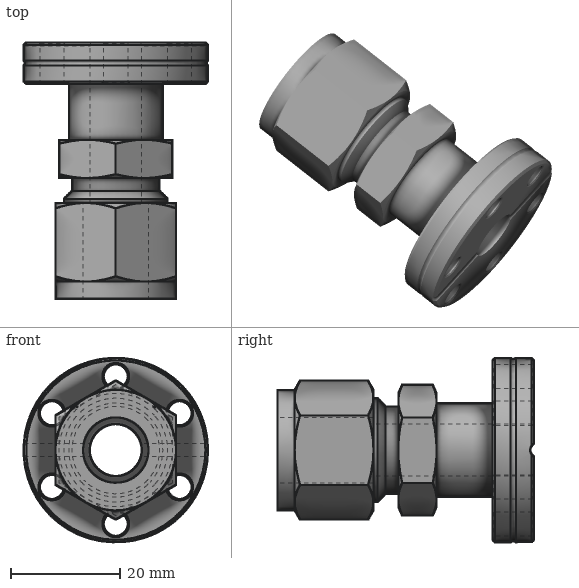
import cadquery as cq
import math


flange_dia = 33.8
flange_end = 7.6
flange_chamfer = 0.45
rim_groove_at = flange_end / 2
rim_groove_width = 0.95
rim_groove_depth = 0.2
bolt_count = 6
bolt_circle_dia = 27.02
bolt_hole_dia = 4.4
bolt_hole_chamfer = 0.25
leak_groove_width = 2.35
leak_groove_depth = 0.65

neck_dia = 17.25
body_hex_at = 17.85
body_hex_end = 24.85
body_hex_flats = 20.77
body_hex_corner_drop = 0.7
relief_dia = 16.05
relief_end = 27.2
cone_end = 28.65
shoulder_dia = 19.05
bore_dia = 9.5

nut_at = 29.4
nut_hex_end = 43.85
nut_flats = 22.1
nut_corner_drop = 1.0
tube_dia = 12.0
overall_length = 47.0


def section_plane(at):
    """Plane across the axis, facing the open end of the fitting."""
    return cq.Workplane("XZ", origin=(0, -at, 0))


def cylinder(dia, at, end):
    return section_plane(at).circle(dia / 2).extrude(end - at)


def hex_prism(flats, corner_drop, at, end):
    """Hexagon with corners at +Z and -Z, both end faces turned down to the width across flats.

    corner_drop is the length along the axis that the turning removes at each corner.
    """
    corner_dia = flats / math.cos(math.pi / 6)
    prism = (
        section_plane(at)
        .transformed(rotate=(0, 0, 90))
        .polygon(6, corner_dia)
        .extrude(end - at)
    )
    blank_profile = [
        (0, -at),
        (flats / 2, -at),
        (corner_dia / 2, -at - corner_drop),
        (corner_dia / 2, -end + corner_drop),
        (flats / 2, -end),
        (0, -end),
    ]
    turned_blank = cq.Workplane("XY").polyline(blank_profile).close().revolve(360, (0, 0, 0), (0, 1, 0))
    return prism.intersect(turned_blank)


def rim_groove():
    """Shallow ring with a round bottom, cut into the flange rim."""
    rim_radius = flange_dia / 2
    near_side = -rim_groove_at + rim_groove_width / 2
    far_side = -rim_groove_at - rim_groove_width / 2
    return (
        cq.Workplane("XY")
        .moveTo(rim_radius, near_side)
        .threePointArc((rim_radius - rim_groove_depth, -rim_groove_at), (rim_radius, far_side))
        .close()
        .revolve(360, (0, 0, 0), (0, 1, 0))
    )


def leak_groove():
    """Round-bottomed groove along X across the sealing face."""
    half_width = leak_groove_width / 2
    radius = (half_width**2 + leak_groove_depth**2) / (2 * leak_groove_depth)
    return (
        cq.Workplane("YZ")
        .center(radius - leak_groove_depth, 0)
        .circle(radius)
        .extrude(flange_dia / 2, both=True)
    )


def make_flange():
    flange = cylinder(flange_dia, 0, flange_end).faces("<Y or >Y").chamfer(flange_chamfer)
    bolt_holes = (
        section_plane(0)
        .polarArray(bolt_circle_dia / 2, 90, 360, bolt_count)
        .circle(bolt_hole_dia / 2)
        .extrude(flange_end)
    )
    flange = flange.cut(bolt_holes)
    smallest_circles = cq.selectors.RadiusNthSelector(0)
    flange = flange.edges(smallest_circles).chamfer(bolt_hole_chamfer)
    return flange.cut(rim_groove()).cut(leak_groove())


def make_body():
    """Flange, neck, hexagon and shoulder in one piece, bored through."""
    neck = cylinder(neck_dia, flange_end, body_hex_at)
    body_hex = hex_prism(body_hex_flats, body_hex_corner_drop, body_hex_at, body_hex_end)
    relief = cylinder(relief_dia, body_hex_end, relief_end)
    cone = (
        section_plane(relief_end)
        .circle(relief_dia / 2)
        .workplane(offset=cone_end - relief_end)
        .circle(shoulder_dia / 2)
        .loft(ruled=True)
    )
    shoulder = cylinder(shoulder_dia, cone_end, nut_at)
    body = make_flange().union(neck).union(body_hex).union(relief).union(cone).union(shoulder)
    return body.cut(cylinder(bore_dia, 0, nut_at))


def make_nut():
    """Hexagon nut with a round end collar and a tube hole; it butts against the shoulder."""
    nut_hex = hex_prism(nut_flats, nut_corner_drop, nut_at, nut_hex_end)
    collar = cylinder(nut_flats, nut_hex_end, overall_length)
    tube_hole = cylinder(tube_dia, nut_at, overall_length)
    return nut_hex.union(collar).cut(tube_hole)


body = make_body()
nut = make_nut()

result = cq.Compound.makeCompound([body.val(), nut.val()])